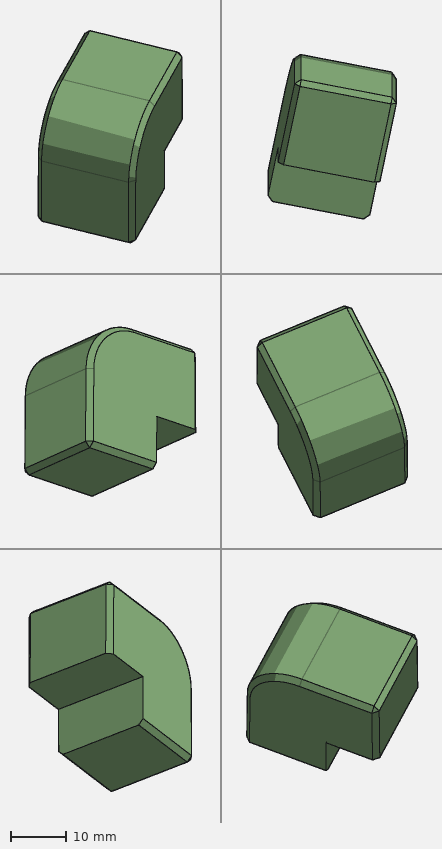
import cadquery as cq
import math

width = 18.85
length = 26.45
height = 26.1
arm_depth = 16.03
inner_corner_y = 3.02
bend_radius = 10.85
chamfer = 1.0
lean_angle = 0.5

top = height / 2
bottom = -top
underside = top - arm_depth
back = length / 2
front = -length / 2
lean = math.radians(lean_angle)


def drift(z_high, z_low):
    """Sideways travel of a splayed face between two heights."""
    return (z_high - z_low) * math.tan(lean)


def elbow_profile():
    """L-shaped outline in the YZ plane, with the outer bend as an arc."""
    widest_z = bottom + chamfer
    front_bottom = front - drift(widest_z, bottom)
    back_top = back - drift(top, underside)
    inner_bottom = inner_corner_y - drift(underside, bottom)

    centre_z = top - bend_radius
    centre_y = front + drift(centre_z, widest_z) + bend_radius / math.cos(lean)

    def on_bend(angle):
        return (
            centre_y - bend_radius * math.cos(angle),
            centre_z + bend_radius * math.sin(angle),
        )

    middle_angle = (math.pi / 2 + lean) / 2
    return (
        cq.Workplane("YZ")
        .moveTo(inner_bottom, bottom)
        .lineTo(inner_corner_y, underside)
        .lineTo(back, underside)
        .lineTo(back_top, top)
        .lineTo(centre_y, top)
        .threePointArc(on_bend(middle_angle), on_bend(lean))
        .lineTo(front_bottom, bottom)
        .close()
    )


def chamfer_outer_edges(body):
    """Chamfer the outer faces and both arm ends; the inner corner stays sharp."""
    tolerance = 0.003
    edges = []
    for edge in body.edges().vals():
        centre = edge.Center()
        on_inner_corner = centre.z < underside + tolerance and centre.y > 0
        runs_along_x = abs(centre.x) < tolerance
        on_bend_seam = runs_along_x and centre.y < 0 and centre.z > bottom + tolerance
        if not (on_inner_corner or on_bend_seam):
            edges.append(edge)
    return body.newObject(edges).chamfer(chamfer)


result = chamfer_outer_edges(elbow_profile().extrude(width / 2, both=True))